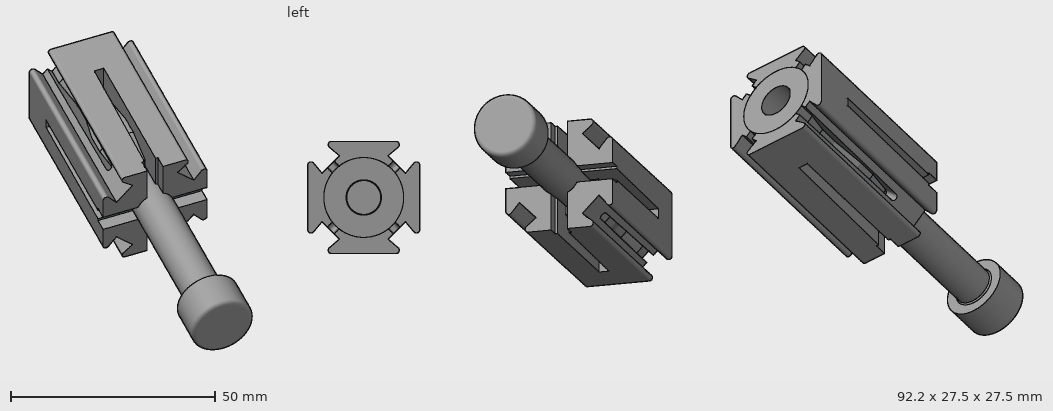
import cadquery as cq
import math

TOTAL_LENGTH = 92.2
SLEEVE_LENGTH = 47.9
SLEEVE_WIDTH = 27.5

GROOVE_FLOOR_DISTANCE = 11.4
GROOVE_FLOOR_WIDTH = 6.0
JAW_FLANK_ANGLE = 40.0
JAW_EDGE_RADIUS = 0.8

FACE_SLOT_START = 11.0
FACE_SLOT_HALF_WIDTH = 1.5
FACE_SLOT_NARROW_HALF_WIDTH = 1.0
SLOT_MOUTH_WIDTH = 4.15
SLOT_MOUTH_LENGTH = 3.3

CORNER_SLOT_LENGTH = 38.7
CORNER_SLOT_START_WIDTH = 2.4
CORNER_SLOT_END_WIDTH = 1.8
CORNER_SLOT_BOTTOM = 6.9

NUT_COLLAR_RADIUS = 9.8
NUT_WAIST_RADIUS = 7.0
NUT_SHOULDER_RADIUS = 9.5
NUT_TIP_RADIUS = 7.0
NUT_COLLAR_END = 4.5
NUT_WAIST_START = 11.5
NUT_WAIST_END = 17.0
NUT_SHOULDER_START = 25.1
NUT_SHOULDER_END = 30.15
NUT_LENGTH = 37.9

SHANK_RADIUS = 5.0
THREAD_RADIUS = 4.3
BOLT_TIP_POSITION = 22.1
TIP_CHAMFER = 0.2
HEAD_RADIUS = 8.0
HEAD_LENGTH = 10.1
HEAD_EDGE_RADIUS = 1.1
NECK_FLARE = 0.4

QUARTER_ANGLES = [0, 90, 180, 270]


def cylinder(radius, start, end):
    """Cylinder on the X axis between two positions."""
    return cq.Workplane("YZ", origin=(start, 0, 0)).circle(radius).extrude(end - start)


def nut_blank():
    """Solid double cone, without its thread hole."""
    profile = [
        (0, 0),
        (0, NUT_COLLAR_RADIUS),
        (NUT_COLLAR_END, NUT_COLLAR_RADIUS),
        (NUT_WAIST_START, NUT_WAIST_RADIUS),
        (NUT_WAIST_END, NUT_WAIST_RADIUS),
        (NUT_SHOULDER_START, NUT_SHOULDER_RADIUS),
        (NUT_SHOULDER_END, NUT_SHOULDER_RADIUS),
        (NUT_LENGTH, NUT_TIP_RADIUS),
        (NUT_LENGTH, 0),
    ]
    return cq.Workplane("XY").polyline(profile).close().revolve(360, (0, 0, 0), (1, 0, 0))


def jaw():
    """Upper quarter of the sleeve: a dovetail standing on the axis, with rounded outer edges."""
    top = SLEEVE_WIDTH / 2
    root_y = (GROOVE_FLOOR_DISTANCE - GROOVE_FLOOR_WIDTH / 2) / math.sqrt(2)
    root_z = (GROOVE_FLOOR_DISTANCE + GROOVE_FLOOR_WIDTH / 2) / math.sqrt(2)
    floor_middle = GROOVE_FLOOR_DISTANCE / math.sqrt(2)
    edge_y = root_y + (top - root_z) / math.tan(math.radians(JAW_FLANK_ANGLE))
    outline = [
        (0, 0),
        (floor_middle, floor_middle),
        (root_y, root_z),
        (edge_y, top),
        (-edge_y, top),
        (-root_y, root_z),
        (-floor_middle, floor_middle),
    ]
    body = cq.Workplane("YZ").polyline(outline).close().extrude(SLEEVE_LENGTH)
    return body.edges("|X and >Z").fillet(JAW_EDGE_RADIUS)


def face_slot():
    """Tapered slot through the upper jaw, with a wider mouth at the bolt end."""
    mouth_start = SLEEVE_LENGTH - SLOT_MOUTH_LENGTH
    outline = [
        (FACE_SLOT_START, FACE_SLOT_HALF_WIDTH),
        (mouth_start, FACE_SLOT_HALF_WIDTH),
        (mouth_start, SLOT_MOUTH_WIDTH / 2),
        (SLEEVE_LENGTH, SLOT_MOUTH_WIDTH / 2),
        (SLEEVE_LENGTH, -SLOT_MOUTH_WIDTH / 2),
        (mouth_start, -SLOT_MOUTH_WIDTH / 2),
        (mouth_start, -FACE_SLOT_HALF_WIDTH),
        (FACE_SLOT_START, -FACE_SLOT_NARROW_HALF_WIDTH),
    ]
    return cq.Workplane("XY").polyline(outline).close().extrude(SLEEVE_WIDTH)


def corner_slot():
    """Tapered slot with a round inner end, cut through a groove floor down to the nut."""
    end_radius = CORNER_SLOT_END_WIDTH / 2
    straight_end = CORNER_SLOT_LENGTH - end_radius
    slot = (
        cq.Workplane("XY", origin=(0, 0, CORNER_SLOT_BOTTOM))
        .moveTo(0, -CORNER_SLOT_START_WIDTH / 2)
        .lineTo(straight_end, -end_radius)
        .threePointArc((CORNER_SLOT_LENGTH, 0), (straight_end, end_radius))
        .lineTo(0, CORNER_SLOT_START_WIDTH / 2)
        .close()
        .extrude(SLEEVE_WIDTH)
    )
    return slot.rotate((0, 0, 0), (1, 0, 0), 45)


def make_sleeve():
    """Expanding sleeve: four jaws around a bore that fits the nut and the bolt shank."""
    sleeve = jaw()
    for angle in QUARTER_ANGLES[1:]:
        sleeve = sleeve.union(jaw().rotate((0, 0, 0), (1, 0, 0), angle))
    for angle in QUARTER_ANGLES:
        sleeve = sleeve.cut(face_slot().rotate((0, 0, 0), (1, 0, 0), angle))
        sleeve = sleeve.cut(corner_slot().rotate((0, 0, 0), (1, 0, 0), angle))
    return sleeve.cut(nut_blank()).cut(cylinder(SHANK_RADIUS, 0, SLEEVE_LENGTH))


def make_nut():
    """Double cone nut with a through hole for the bolt thread."""
    return nut_blank().cut(cylinder(THREAD_RADIUS, 0, NUT_LENGTH))


def make_bolt():
    """Cap screw: thread inside the nut, plain shank behind it, round head at the far end."""
    head_start = TOTAL_LENGTH - HEAD_LENGTH
    thread = cylinder(THREAD_RADIUS, BOLT_TIP_POSITION, NUT_LENGTH).faces("<X").chamfer(TIP_CHAMFER)
    shank = cylinder(SHANK_RADIUS, NUT_LENGTH, head_start)
    head = cylinder(HEAD_RADIUS, head_start, TOTAL_LENGTH).faces(">X").edges().fillet(HEAD_EDGE_RADIUS)
    neck = cq.Workplane("YZ", origin=(head_start - NECK_FLARE, 0, 0)).circle(SHANK_RADIUS)
    neck = neck.workplane(offset=NECK_FLARE).circle(SHANK_RADIUS + NECK_FLARE).loft()
    return thread.union(shank).union(neck).union(head)


sleeve = make_sleeve()
nut = make_nut()
bolt = make_bolt()

result = cq.Compound.makeCompound([sleeve.val(), nut.val(), bolt.val()])